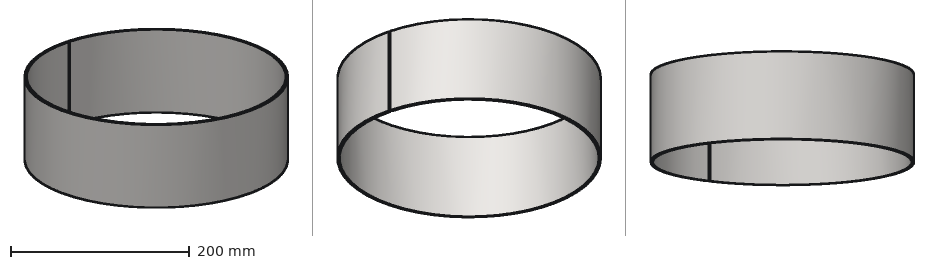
import cadquery as cq

outer_diameter = 295.0
wall_thickness = 2.5
band_height = 100.0
outer_chamfer = 0.5
inner_chamfer = 0.2
gap_angle = 1.0

outer_radius = outer_diameter / 2
inner_radius = outer_radius - wall_thickness


def make_wall_section():
    """Wall cross-section on the -X side, with all four corners chamfered."""
    return (
        cq.Workplane("XZ")
        .moveTo(-inner_radius - inner_chamfer, 0)
        .lineTo(-outer_radius + outer_chamfer, 0)
        .lineTo(-outer_radius, outer_chamfer)
        .lineTo(-outer_radius, band_height - outer_chamfer)
        .lineTo(-outer_radius + outer_chamfer, band_height)
        .lineTo(-inner_radius - inner_chamfer, band_height)
        .lineTo(-inner_radius, band_height - inner_chamfer)
        .lineTo(-inner_radius, inner_chamfer)
        .close()
    )


def make_split_band():
    """Band swept about Z from -X through -Y, leaving a narrow radial gap on the +Y side of -X."""
    sweep_angle = 360 - gap_angle
    axis_start = (0, 0)
    axis_end = (0, band_height)
    return make_wall_section().revolve(sweep_angle, axis_start, axis_end)


result = make_split_band()